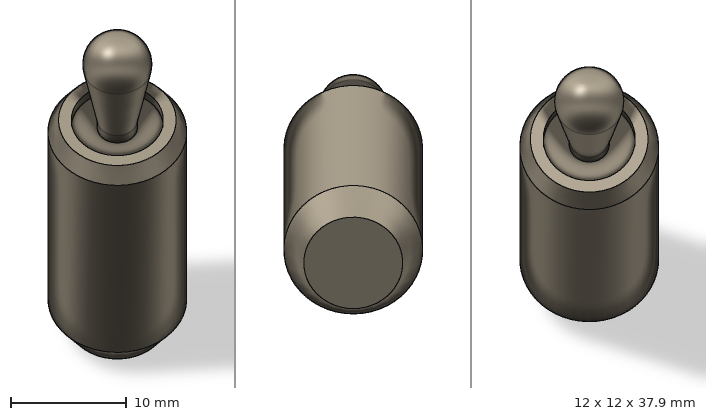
import cadquery as cq
import math

total_height = 37.9
housing_height = 27.3
housing_radius = 6.007

end_taper_angle = math.radians(30)
bottom_taper_height = 3.0
top_taper_height = 1.6
bottom_radius = housing_radius - bottom_taper_height * math.tan(end_taper_angle)
top_radius = housing_radius - top_taper_height * math.tan(end_taper_angle)

recess_radius = 3.98
recess_depth = 1.0
recess_floor = housing_height - recess_depth

neck_radius = 1.75
ball_radius = 3.0
ball_center = total_height - ball_radius


def make_housing():
    """Turned housing with tapered ends and a flat-bottomed recess."""
    return (
        cq.Workplane("XZ")
        .moveTo(0, 0)
        .lineTo(bottom_radius, 0)
        .lineTo(housing_radius, bottom_taper_height)
        .lineTo(housing_radius, housing_height - top_taper_height)
        .lineTo(top_radius, housing_height)
        .lineTo(recess_radius, housing_height)
        .lineTo(recess_radius, recess_floor)
        .lineTo(0, recess_floor)
        .close()
        .revolve(360, (0, 0), (0, 1))
    )


def make_lever():
    """Lever standing on the recess floor, with a ball at its tip."""
    cone_height = ball_center - housing_height
    neck_to_center = math.hypot(cone_height, neck_radius)
    cone_angle = math.asin(ball_radius / neck_to_center) - math.atan2(neck_radius, cone_height)
    tangent_radius = ball_radius * math.cos(cone_angle)
    tangent_height = ball_center - ball_radius * math.sin(cone_angle)

    arc_middle_angle = (math.pi / 2 - cone_angle) / 2
    arc_middle = (
        ball_radius * math.cos(arc_middle_angle),
        ball_center + ball_radius * math.sin(arc_middle_angle),
    )

    return (
        cq.Workplane("XZ")
        .moveTo(0, recess_floor)
        .lineTo(neck_radius, recess_floor)
        .lineTo(neck_radius, housing_height)
        .lineTo(tangent_radius, tangent_height)
        .threePointArc(arc_middle, (0, total_height))
        .close()
        .revolve(360, (0, 0), (0, 1))
    )


housing = make_housing()
lever = make_lever()

result = cq.Compound.makeCompound([housing.val(), lever.val()])